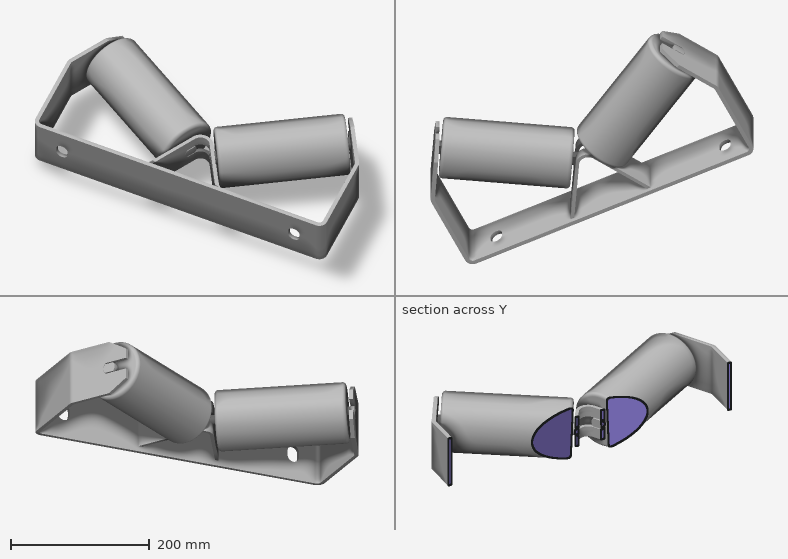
import math

import cadquery as cq

WIDTH = 460.0
FRAME_HEIGHT = 80.0
V_ANGLE = 30.0
TILT = 2.0

ROLLER_DIAMETER = 89.0
ROLLER_LENGTH = 190.0
ROLLER_EDGE_FILLET = 5.0
ROLLER_OUTER_FACE = -252.5
ROLLER_ACROSS = 62.5
END_GAP = 4.0

AXLE_DIAMETER = 19.5
AXLE_FLATS = 14.0

FRAME_THICKNESS = 6.0
FRAME_BEND_RADIUS = 12.0
ARM_TIP = 92.0
TIP_CHAMFER_LENGTH = 29.5
TIP_CHAMFER_DEPTH = 17.0
BRACKET_THICKNESS = 5.0
BRACKET_HEIGHT = 50.0
BRACKET_Z = -7.0
BRACKET_BEND_RADIUS = 18.5

AXLE_SLOT_WIDTH = 16.5
AXLE_SLOT_DIAMETER = 20.2
MOUNT_SLOT_WIDTH = 18.0
MOUNT_SLOT_HEIGHT = 25.0
MOUNT_SLOT_X = 183.0

SLOPE_COS = math.cos(math.radians(V_ANGLE))
SLOPE_SIN = math.sin(math.radians(V_ANGLE))
ARM_INNER_FACE = ROLLER_OUTER_FACE - END_GAP
ARM_OUTER_FACE = ARM_INNER_FACE - FRAME_THICKNESS
BRACKET_OUTER_FACE = ROLLER_OUTER_FACE + ROLLER_LENGTH + END_GAP
BRACKET_INNER_FACE = BRACKET_OUTER_FACE + BRACKET_THICKNESS
CUT_MARGIN = 4.5


def turn_to_roller(shape):
    """Turn a shape drawn with X along and Y across into the left roller's direction."""
    return shape.rotate((0, 0, 0), (0, 0, 1), -V_ANGLE)


def mirrored(shape):
    return shape.mirror("YZ")


def block(x_range, y_range, height, z_centre=0.0):
    """Box spanning two ranges in X and Y, centred on a height."""
    centre = (sum(x_range) / 2, sum(y_range) / 2, z_centre)
    return cq.Workplane("XY").box(
        x_range[1] - x_range[0], y_range[1] - y_range[0], height
    ).translate(centre)


def folded_strip(corners, bend_radius, thickness, height):
    """Closed loop of sheet whose outer face runs through the corners, rounded at each."""
    outside = (
        cq.Workplane("XY", origin=(0, 0, -height / 2))
        .polyline(corners).close().extrude(height)
        .edges("|Z").fillet(bend_radius)
    )
    inside = (
        outside.faces("<Z").wires().toPending()
        .workplane(invert=True).offset2D(-thickness).extrude(height, combine=False)
    )
    return outside.cut(inside)


def axle_slot(along_range, across_end, z_centre):
    """Cutter for a slot with a rounded bottom under the axle, open beyond it."""
    depth = along_range[1] - along_range[0]
    rounded_bottom = (
        cq.Workplane("YZ", origin=(along_range[0], ROLLER_ACROSS, z_centre))
        .circle(AXLE_SLOT_DIAMETER / 2).extrude(depth)
        .intersect(block(
            along_range,
            (ROLLER_ACROSS - AXLE_SLOT_DIAMETER, ROLLER_ACROSS + AXLE_SLOT_DIAMETER),
            AXLE_SLOT_WIDTH, z_centre,
        ))
    )
    opening = block(along_range, (ROLLER_ACROSS, across_end), AXLE_SLOT_WIDTH, z_centre)
    return turn_to_roller(rounded_bottom.union(opening))


def make_frame():
    """Base, two side walls and two arms leaning inwards, folded from one strip.

    The arms are trimmed from a house-shaped loop whose roof follows their slope.
    """
    half_width = WIDTH / 2
    apex_y = -ARM_OUTER_FACE / SLOPE_SIN
    shoulder_y = apex_y - half_width * SLOPE_COS / SLOPE_SIN
    corners = [
        (-half_width, 0), (half_width, 0), (half_width, shoulder_y),
        (0, apex_y), (-half_width, shoulder_y),
    ]
    frame = folded_strip(corners, FRAME_BEND_RADIUS, FRAME_THICKNESS, FRAME_HEIGHT)

    arm_range = (ARM_OUTER_FACE - CUT_MARGIN, ARM_INNER_FACE + CUT_MARGIN)
    beyond_tip = turn_to_roller(block(arm_range, (ARM_TIP, apex_y), FRAME_HEIGHT))
    slot = axle_slot(arm_range, ARM_TIP + CUT_MARGIN, 0)
    for cutter in (beyond_tip, slot):
        frame = frame.cut(cutter).cut(mirrored(cutter))

    top = FRAME_HEIGHT / 2
    for side in (1, -1):
        corner = turn_to_roller(
            cq.Workplane("YZ", origin=(arm_range[0], 0, 0))
            .polyline([
                (ARM_TIP, side * top),
                (ARM_TIP - TIP_CHAMFER_LENGTH, side * top),
                (ARM_TIP, side * (top - TIP_CHAMFER_DEPTH)),
            ])
            .close().extrude(arm_range[1] - arm_range[0])
        )
        frame = frame.cut(corner).cut(mirrored(corner))

    mount_slots = (
        cq.Workplane("XZ").pushPoints([(-MOUNT_SLOT_X, 0), (MOUNT_SLOT_X, 0)])
        .slot2D(MOUNT_SLOT_HEIGHT, MOUNT_SLOT_WIDTH, 90)
        .extrude(-FRAME_THICKNESS)
    )
    return frame.cut(mount_slots)


def make_bracket():
    """Inverted V with a round crest that stands on the frame's base."""
    apex_y = -BRACKET_OUTER_FACE / SLOPE_SIN
    half_foot = -BRACKET_OUTER_FACE / SLOPE_COS
    drop = half_foot
    half_bottom = half_foot + drop * SLOPE_SIN / SLOPE_COS
    corners = [(-half_bottom, -drop), (half_bottom, -drop), (0, apex_y)]
    bracket = folded_strip(corners, BRACKET_BEND_RADIUS, BRACKET_THICKNESS, BRACKET_HEIGHT)
    bracket = bracket.intersect(
        block((-half_foot, half_foot), (FRAME_THICKNESS, apex_y), BRACKET_HEIGHT)
    ).translate((0, 0, BRACKET_Z))
    slot_range = (BRACKET_OUTER_FACE - CUT_MARGIN, BRACKET_OUTER_FACE + BRACKET_BEND_RADIUS)
    slot = axle_slot(slot_range, apex_y, BRACKET_Z)
    return bracket.cut(slot).cut(mirrored(slot))


def make_roller():
    """Left roller with its two flatted axle ends, pivoted about the outer axle end."""
    axle_length = BRACKET_INNER_FACE - ARM_OUTER_FACE
    barrel = (
        cq.Workplane("YZ", origin=(FRAME_THICKNESS + END_GAP, 0, 0))
        .circle(ROLLER_DIAMETER / 2).extrude(ROLLER_LENGTH)
        .edges().fillet(ROLLER_EDGE_FILLET)
    )
    axle = (
        cq.Workplane("YZ").circle(AXLE_DIAMETER / 2).extrude(axle_length)
        .intersect(block((0, axle_length), (-AXLE_DIAMETER, AXLE_DIAMETER), AXLE_FLATS))
    )
    roller = barrel.union(axle).rotate((0, 0, 0), (0, 1, 0), TILT)
    return turn_to_roller(roller.translate((ARM_OUTER_FACE, ROLLER_ACROSS, 0)))


frame = make_frame()
bracket = make_bracket()
left_roller = make_roller()
rollers = [left_roller, mirrored(left_roller)]

result = cq.Compound.makeCompound([
    frame.solids().val(),
    bracket.solids().val(),
    *[roller.solids().val() for roller in rollers],
])